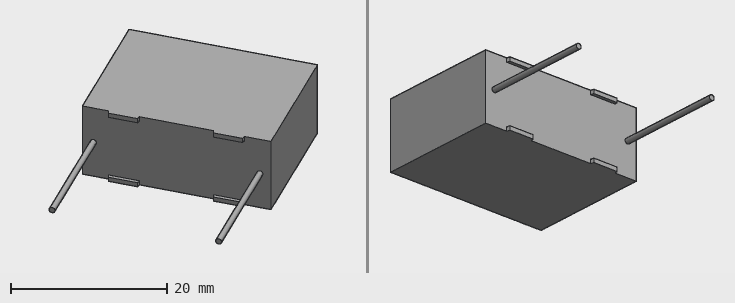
import cadquery as cq


total_length = 35.5

case_width = 25.5
case_depth = 19.0
case_thickness = 10.5
back_edge_radius = 0.5

foot_height = 0.5
foot_base_width = 4.2
foot_tip_width = 3.95
foot_thickness = 0.65
foot_spacing = 14.2

lead_diameter = 0.8
lead_spacing = 22.5
lead_length = total_length - case_depth

foot_centre_z = (case_thickness - foot_thickness) / 2


def make_foot(centre_x, centre_z):
    """Foot that narrows from the terminal face to its tip."""
    foot = (
        cq.Workplane("XY")
        .polyline([
            (-foot_base_width / 2, 0),
            (foot_base_width / 2, 0),
            (foot_tip_width / 2, -foot_height),
            (-foot_tip_width / 2, -foot_height),
        ])
        .close()
        .extrude(foot_thickness / 2, both=True)
    )
    return foot.translate((centre_x, 0, centre_z))


def make_case():
    """Solid block with rounded back edges and a foot near each end of both long terminal edges."""
    case = (
        cq.Workplane("XY")
        .box(case_width, case_depth, case_thickness)
        .translate((0, case_depth / 2, 0))
        .faces(">Y")
        .edges()
        .fillet(back_edge_radius)
    )
    for side_x in (-1, 1):
        for side_z in (-1, 1):
            case = case.union(make_foot(side_x * foot_spacing / 2, side_z * foot_centre_z))
    return case


def make_lead(centre_x):
    """Straight round wire standing on the terminal face and pointing toward -Y."""
    return (
        cq.Workplane("XZ")
        .center(centre_x, 0)
        .circle(lead_diameter / 2)
        .extrude(lead_length)
    )


case = make_case()
leads = [make_lead(side_x * lead_spacing / 2) for side_x in (-1, 1)]

result = cq.Compound.makeCompound([case.solids().val(), *[lead.val() for lead in leads]])